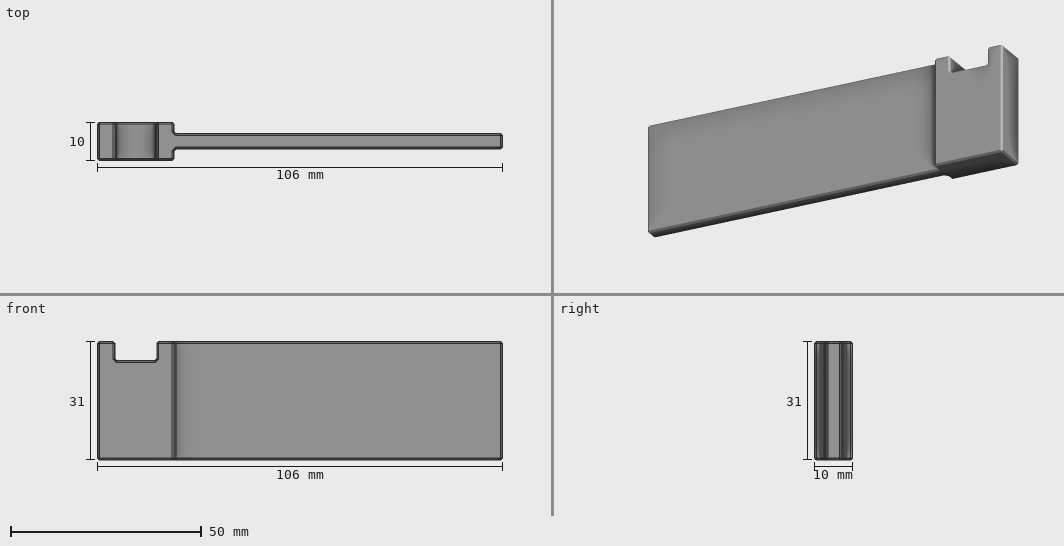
import cadquery as cq

total_length = 106.0
height = 31.0
head_length = 20.0
head_width = 10.0
blade_thickness = 4.0
notch_length = 11.0
notch_depth = 5.0
edge_break = 0.5

notch_start = (head_length - notch_length) / 2


def make_head():
    """Rectangular head block, centred on the XZ plane and starting at X = 0."""
    return cq.Workplane("XY").box(head_length, head_width, height, centered=(False, True, False))


def make_blade():
    """Thin full-height plate along the centre of the head, out to the far end."""
    return cq.Workplane("XY").box(total_length, blade_thickness, height, centered=(False, True, False))


def make_notch():
    """Block removed from the top of the head, across its full width."""
    return (
        cq.Workplane("XY")
        .box(notch_length, head_width, notch_depth, centered=(False, True, False))
        .translate((notch_start, 0, height - notch_depth))
    )


sharp_body = make_head().union(make_blade()).cut(make_notch())
result = sharp_body.edges().chamfer(edge_break)